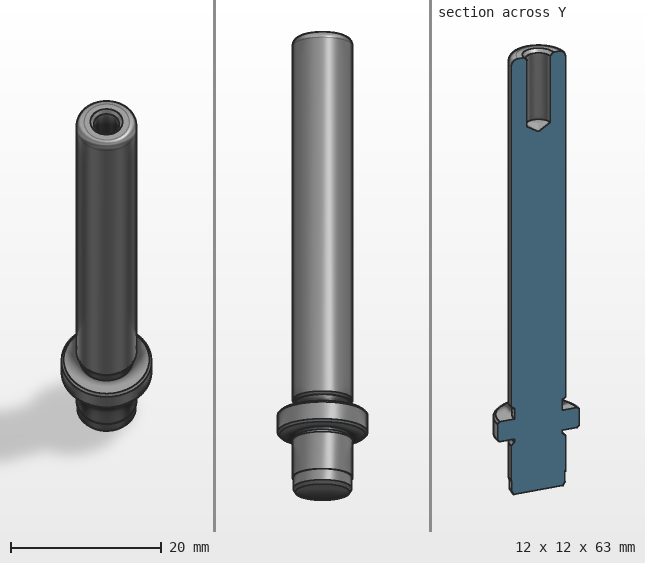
import cadquery as cq
import math

total_length = 63.0
pilot_height = 2.0
flange_bottom = 8.0
flange_top = 10.95
shaft_bottom = 12.5

shaft_radius = 4.0
pilot_radius = 3.9
neck_radius = 3.5
flange_radius = 6.0

shaft_top_fillet = 1.0
shaft_bottom_chamfer = 0.3
flange_chamfer = 0.3
pilot_chamfer_height = 0.5
pilot_chamfer_width = 0.3
lower_neck_height = 0.4
seat_chamfer = shaft_radius - neck_radius

hole_radius = 1.67
countersink_radius = 2.15
hole_depth = 10.1
drill_point_angle = 118.0


def cylinder(radius, bottom, top):
    """Vertical cylinder on the part axis."""
    return cq.Workplane("XY").workplane(offset=bottom).circle(radius).extrude(top - bottom)


def make_pin():
    """Seat with pilot, undercut flange and long guide shaft."""
    pilot = cylinder(pilot_radius, 0, pilot_height)
    pilot = pilot.faces("<Z").edges().chamfer(pilot_chamfer_height, pilot_chamfer_width)
    seat_top = flange_bottom - lower_neck_height
    seat = cylinder(shaft_radius, pilot_height, seat_top).faces(">Z").edges().chamfer(seat_chamfer)
    necks = cylinder(neck_radius, pilot_height, shaft_bottom)
    flange = cylinder(flange_radius, flange_bottom, flange_top).edges().chamfer(flange_chamfer)
    shaft = cylinder(shaft_radius, shaft_bottom, total_length)
    shaft = shaft.faces("<Z").edges().chamfer(shaft_bottom_chamfer)
    shaft = shaft.faces(">Z").edges().fillet(shaft_top_fillet)
    return pilot.union(seat).union(necks).union(flange).union(shaft)


def make_hole():
    """Countersunk blind hole with a conical drill point, revolved about Z."""
    countersink_depth = countersink_radius - hole_radius
    point_depth = hole_radius / math.tan(math.radians(drill_point_angle / 2))
    floor = total_length - hole_depth
    return (
        cq.Workplane("XZ")
        .moveTo(0, total_length)
        .lineTo(countersink_radius, total_length)
        .lineTo(hole_radius, total_length - countersink_depth)
        .lineTo(hole_radius, floor)
        .lineTo(0, floor - point_depth)
        .close()
        .revolve(360, (0, 0, 0), (0, 1, 0))
    )


result = make_pin().cut(make_hole())